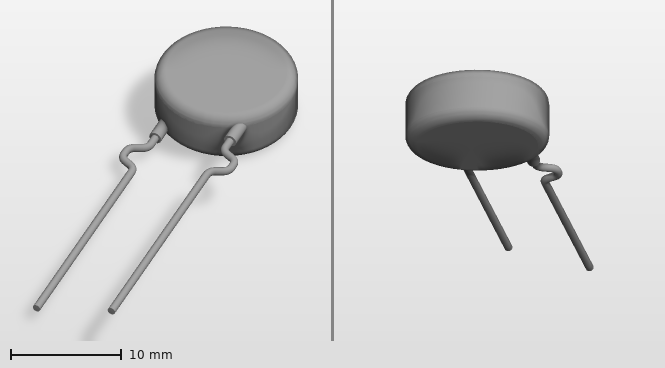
import cadquery as cq
import math

disc_diameter = 13.0
disc_thickness = 5.0
disc_edge_radius = 1.0

sleeve_diameter = 1.2
sleeve_protrusion = 0.58

overall_length = 38.55
lead_diameter = 0.75
lead_spacing = 7.48
lead_height_step = 2.62

kink_lead_in = 0.93
kink_offset = 1.62
kink_crest_length = 0.4
bend_radius = 0.85
bend_angle = math.radians(65)

sleeve_end_y = -disc_diameter / 2 - sleeve_protrusion
kink_start_y = sleeve_end_y - kink_lead_in
lead_tip_y = disc_diameter / 2 - overall_length

bend_side = bend_radius * (1 - math.cos(bend_angle))
bend_drop = bend_radius * math.sin(bend_angle)
slant_side = kink_offset - 2 * bend_side
slant_drop = slant_side / math.tan(bend_angle)
half_bend_side = bend_radius * (1 - math.cos(bend_angle / 2))
half_bend_drop = bend_radius * math.sin(bend_angle / 2)

lead_places = [(-1, -1), (1, 1)]


def lead_axis(side, level):
    """X and Z of a lead's axis."""
    return side * lead_spacing / 2, level * lead_height_step / 2


def rod_plane(side, level, y):
    """Plane across a lead's axis at the given Y, facing -Y."""
    x, z = lead_axis(side, level)
    return cq.Plane(origin=(x, y, z), xDir=(1, 0, 0), normal=(0, -1, 0))


def make_coating():
    """Rounded disc with one sleeve for each lead."""
    coating = (
        cq.Workplane("XY", origin=(0, 0, -disc_thickness / 2))
        .circle(disc_diameter / 2)
        .extrude(disc_thickness)
        .edges()
        .fillet(disc_edge_radius)
    )
    for side, level in lead_places:
        sleeve = (
            cq.Workplane(rod_plane(side, level, 0))
            .circle(sleeve_diameter / 2)
            .extrude(-sleeve_end_y)
        )
        coating = coating.union(sleeve)
    return coating


def make_lead(side, level):
    """Round wire from the sleeve end to the tip, kinked outward."""
    axis_x, axis_z = lead_axis(side, level)
    crest_start_y = kink_start_y - 2 * bend_drop - slant_drop
    crest_end_y = crest_start_y - kink_crest_length
    kink_end_y = crest_end_y - (kink_start_y - crest_start_y)

    def at(outward, y):
        return axis_x + side * outward, y

    path = (
        cq.Workplane("XY", origin=(0, 0, axis_z))
        .moveTo(*at(0, sleeve_end_y))
        .lineTo(*at(0, kink_start_y))
        .threePointArc(
            at(half_bend_side, kink_start_y - half_bend_drop),
            at(bend_side, kink_start_y - bend_drop),
        )
        .lineTo(*at(kink_offset - bend_side, crest_start_y + bend_drop))
        .threePointArc(
            at(kink_offset - half_bend_side, crest_start_y + half_bend_drop),
            at(kink_offset, crest_start_y),
        )
        .lineTo(*at(kink_offset, crest_end_y))
        .threePointArc(
            at(kink_offset - half_bend_side, crest_end_y - half_bend_drop),
            at(kink_offset - bend_side, crest_end_y - bend_drop),
        )
        .lineTo(*at(bend_side, kink_end_y + bend_drop))
        .threePointArc(
            at(half_bend_side, kink_end_y + half_bend_drop),
            at(0, kink_end_y),
        )
        .lineTo(*at(0, lead_tip_y))
    )
    return (
        cq.Workplane(rod_plane(side, level, sleeve_end_y))
        .circle(lead_diameter / 2)
        .sweep(path)
    )


coating = make_coating()
leads = [make_lead(side, level) for side, level in lead_places]

result = cq.Compound.makeCompound([coating.solids().val(), *[lead.val() for lead in leads]])